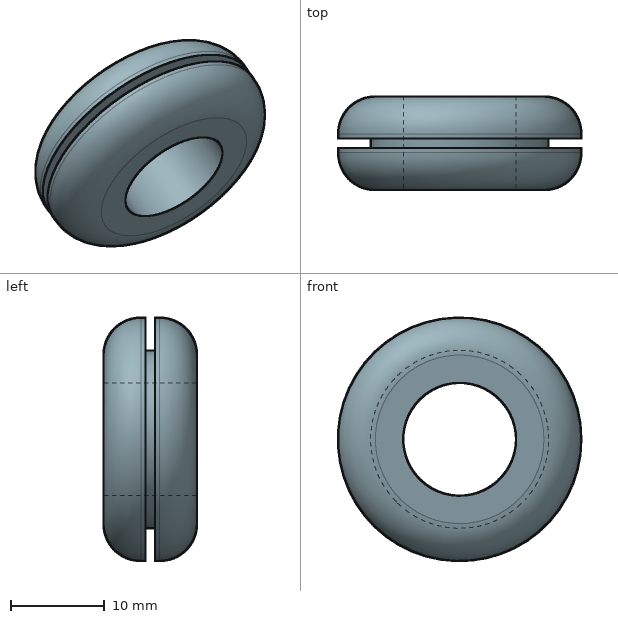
import cadquery as cq

outer_diameter = 26.0
thickness = 10.0
bore_diameter = 12.0
edge_radius = 4.0
groove_width = 1.0
groove_diameter = 19.0


def disc(diameter, width):
    """Solid disc on the Y axis, centred on the origin."""
    end_plane = cq.Workplane("XZ", origin=(0, width / 2, 0))
    return end_plane.circle(diameter / 2).extrude(width)


body = disc(outer_diameter, thickness).edges("%CIRCLE").fillet(edge_radius)

groove = disc(outer_diameter, groove_width).cut(disc(groove_diameter, groove_width))

bore = disc(bore_diameter, thickness)

result = body.cut(groove).cut(bore)